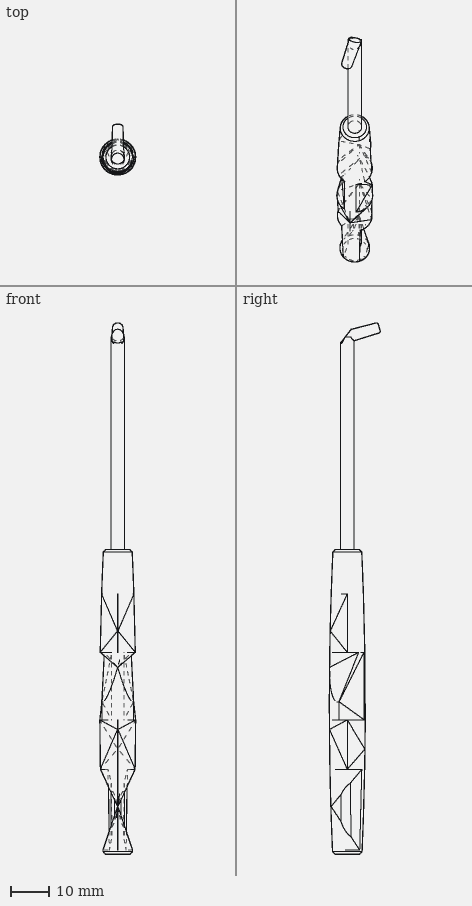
import cadquery as cq
import math

total_height = 139.4
handle_height = 80.0
belly_radius = 4.7
belly_z = 39.0
end_radius = 3.83
end_chamfer = 0.7
shaft_radius = 1.8
tip_radius = 1.4
tip_root_radius = 1.7
tip_reach = 8.6
tip_rise_angle = 16.0
tip_edge_fillet = 0.5
elbow_shoulder_z = 134.1
elbow_angle = 52.0
elbow_shaft_top_z = 135.7
apex_radius = 0.05

collar_z = 68.3
grip_z = 53.0
belly_edge_z = 35.3
neck_z = 22.3
foot_z = 1.1

collar_apex_z = 58.5
brow_apex_z = 49.1
waist_apex_z = 40.0
front_apex_z = 32.8
rear_apex_z = 27.6
foot_apex_z = 12.5

front_angle = 0.0
waist_apex_angle = 62.0
side_angle = 90.0
foot_edge_angle = 146.0
brow_edge_angle = 130.0
waist_edge_angle = 160.0
rear_angle = 180.0

half_span = handle_height / 2
bulge = belly_radius - end_radius
profile_radius = (half_span**2 + bulge**2) / (2 * bulge)


def barrel_radius(z):
    profile_center = belly_radius - profile_radius
    return profile_center + math.sqrt(profile_radius**2 - (z - belly_z)**2)


def surface_point(angle, z, side, inset=0.0):
    """Point on the barrel, measured from the front towards one side."""
    radius = barrel_radius(z) - inset
    turn = math.radians(angle)
    return cq.Vector(side * radius * math.sin(turn), -radius * math.cos(turn), z)


def outside_block(points, z_low, z_high):
    """Material outside the plane through three points, between two levels."""
    first, second, third = points
    normal = (second - first).cross(third - first).normalized()
    if normal.dot(cq.Vector(first.x, first.y, 0)) < 0:
        normal = normal * -1
    block_width = 2 * total_height
    block_depth = 4 * belly_radius
    plane = cq.Plane(origin=first.toTuple(), normal=normal.toTuple())
    block = cq.Workplane(plane).rect(block_width, block_width).extrude(block_depth)
    slab = (
        cq.Workplane("XY", origin=(0, 0, z_low))
        .rect(block_width, block_width)
        .extrude(z_high - z_low)
    )
    return block.intersect(slab)


def cone(circle_z, angle, apex_z, side):
    """Slanted cone from a full handle section to a point on the barrel."""
    apex = surface_point(angle, apex_z, side, apex_radius)
    base_wire = cq.Wire.makeCircle(
        barrel_radius(circle_z), cq.Vector(0, 0, circle_z), cq.Vector(0, 0, 1)
    )
    apex_wire = cq.Wire.makeCircle(apex_radius, apex, cq.Vector(0, 0, 1))
    return cq.Workplane(cq.Solid.makeLoft([base_wire, apex_wire], True))


def make_barrel():
    barrel = (
        cq.Workplane("XZ")
        .lineTo(barrel_radius(0), 0)
        .threePointArc((belly_radius, belly_z), (barrel_radius(handle_height), handle_height))
        .lineTo(0, handle_height)
        .close()
        .revolve(360, (0, 0, 0), (0, 1, 0))
    )
    return barrel.faces("<Z or >Z").edges().chamfer(end_chamfer)


def cut_facet(handle, corners, z_low, z_high, cones):
    """Cut the barrel back to a plane, except where the cones stand out of it."""
    cutter = outside_block(corners, z_low, z_high)
    for kept_cone in cones:
        cutter = cutter.cut(kept_cone)
    return handle.cut(cutter)


def cut_band(handle, top_z, bottom_z, edge_angle, apex_angle, apex_z):
    """Cut mirrored triangular facets between two full-circle levels."""
    for side in (-1, 1):
        corners = [
            surface_point(edge_angle, top_z, side),
            surface_point(edge_angle, bottom_z, side),
            surface_point(apex_angle, apex_z, side),
        ]
        cones = [cone(circle_z, apex_angle, apex_z, side) for circle_z in (top_z, bottom_z)]
        handle = cut_facet(handle, corners, bottom_z, top_z, cones)
    return handle


def cut_brow(handle):
    """Cut the two slanted front facets below the grip, meeting in a V."""
    for side in (-1, 1):
        corners = [
            surface_point(brow_edge_angle, grip_z, side),
            surface_point(front_angle, brow_apex_z, side),
            surface_point(waist_apex_angle, waist_apex_z, side),
        ]
        brow_cone = cone(grip_z, front_angle, brow_apex_z, side)
        handle = cut_facet(handle, corners, waist_apex_z, grip_z, [brow_cone])
    return handle


def make_handle():
    handle = make_barrel()
    handle = cut_band(handle, collar_z, grip_z, side_angle, front_angle, collar_apex_z)
    handle = cut_band(
        handle, grip_z, belly_edge_z, waist_edge_angle, waist_apex_angle, waist_apex_z
    )
    handle = cut_brow(handle)
    handle = cut_band(handle, belly_edge_z, neck_z, side_angle, front_angle, front_apex_z)
    handle = cut_band(handle, belly_edge_z, neck_z, side_angle, rear_angle, rear_apex_z)
    return cut_band(handle, neck_z, foot_z, foot_edge_angle, front_angle, foot_apex_z)


def make_tip():
    rise = math.radians(tip_rise_angle)
    rim_radius = tip_radius - tip_edge_fillet
    rim_y = tip_reach - tip_edge_fillet - rim_radius * math.sin(rise)
    rim_z = total_height - tip_edge_fillet - rim_radius * math.cos(rise)
    end_y = rim_y + tip_edge_fillet * math.cos(rise)
    end_z = rim_z + tip_edge_fillet * math.sin(rise)
    length = (end_y + shaft_radius) / math.cos(rise)
    root = (0, -shaft_radius, end_z - length * math.sin(rise))
    axis = cq.Plane(origin=root, xDir=(1, 0, 0), normal=(0, math.cos(rise), math.sin(rise)))
    tip = (
        cq.Workplane(axis)
        .circle(tip_root_radius)
        .workplane(offset=length)
        .circle(tip_radius)
        .loft(ruled=True)
    )
    return tip.faces(">Y").edges().fillet(tip_edge_fillet)


def make_bent_shaft():
    """Straight shaft and bent tip, trimmed together by the slanted elbow face."""
    shaft = cq.Workplane("XY").circle(shaft_radius).extrude(elbow_shaft_top_z)
    elbow_run = (total_height - elbow_shoulder_z) / math.tan(math.radians(elbow_angle))
    elbow_top_y = elbow_run - shaft_radius
    behind_elbow = (
        cq.Workplane("YZ")
        .moveTo(-shaft_radius, elbow_shoulder_z)
        .lineTo(elbow_top_y, total_height)
        .lineTo(-belly_radius, total_height)
        .lineTo(-belly_radius, elbow_shoulder_z)
        .close()
        .extrude(belly_radius, both=True)
    )
    return shaft.union(make_tip()).cut(behind_elbow)


result = make_handle().union(make_bent_shaft())